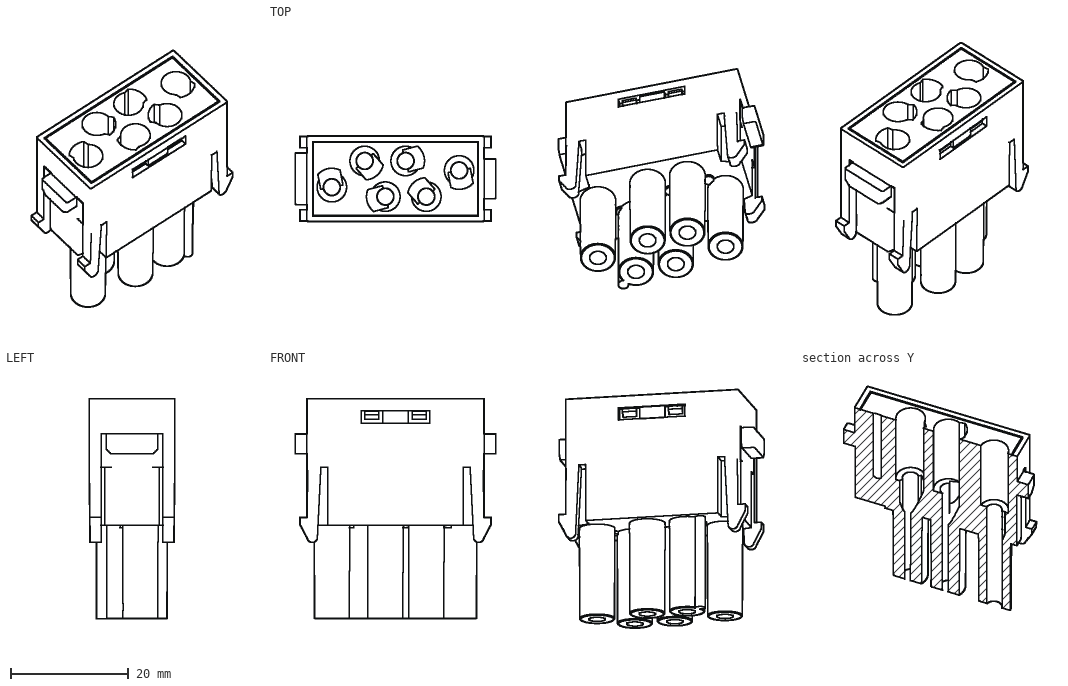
import cadquery as cq

total_height = 37.4
shell_length = 30.07
shell_width = 14.6
shell_bottom = 25.73
shell_edge_radius = 0.22

core_bottom = 15.95
core_face_half_length = 11.52
core_end_half_width = 3.7
core_notch_half_width = 4.65
core_edge_radius = 0.2
draft_inset = 0.15

relief_half_width = 5.25
relief_top = 31.4
relief_depth = 0.1

leg_inner_y = relief_half_width
leg_root_x = 12.68
leg_tip_x = 13.28
hook_shelf_z = 17.25
hook_x = 16.25
hook_nose_z = 16.0
hook_nose_radius = 0.37
tip_shoulder_z = 13.65
tip_outer_x = 15.0
tip_z = 12.98

key_reach = 17.05
key_height = 3.35
key_corner = 0.82
key_edge_radius = 0.25
key_corner_radius = 0.37
key_width_left = 8.83
key_width_right = 6.8

wall_thickness = 0.97
joint_width = 0.1
joint_depth = 0.2

window_length = 11.6
window_top = 35.35
window_height = 2.1
window_block_length = 4.35
window_block_setback = 0.35
catch_length = 2.4
catch_offset = 4.0
catch_reach = 0.6
catch_top = 35.23
catch_edge_z = 34.7
catch_bottom = 33.92

half_cavities = [(-10.8, -1.42, 101), (-5.25, 3.03, -49), (1.72, 3.03, 15)]
cavities = half_cavities + [(-x, -y, angle + 180) for x, y, angle in half_cavities]
pin_diameter = 6.05
pin_draft_angle = 0.25
pin_edge_chamfer = 0.15
bore_diameter = 5.0
bore_floor = 23.2
through_diameter = 2.8
keyway_radius = 3.2
keyway_width = 3.85
keyway_slope_top = 22.45
keyway_floor = 16.1

pad_diameter = 1.75
pad_height = 0.45
pad_centres = [(-7.4, 1.5), (1.72, -0.82), (8.6, -1.5)]

post_diameter = 1.75
post_centre = (-7.95, 5.15)

half_length = shell_length / 2
half_width = shell_width / 2
relief_x = half_length - relief_depth


def prism(length, width, bottom, top):
    """Box centred on the Z axis between two heights."""
    return cq.Workplane("XY").workplane(offset=bottom).rect(length, width).extrude(top - bottom)


def make_shell():
    shell = prism(shell_length, shell_width, shell_bottom, total_height)
    return shell.edges("|Z").fillet(shell_edge_radius)


def make_core():
    quarter = [
        (core_face_half_length, half_width),
        (core_face_half_length, core_notch_half_width),
        (relief_x, core_end_half_width),
    ]
    outline = quarter + [(x, -y) for x, y in reversed(quarter)]
    outline += [(-x, -y) for x, y in outline]
    core = cq.Workplane("XY").workplane(offset=core_bottom).polyline(outline).close()
    core = core.extrude(shell_bottom - core_bottom)
    for end_face in ("<X", ">X"):
        core = core.faces(end_face).edges("|Z").fillet(core_edge_radius)
    return core


def make_leg():
    """Hooked leg at the +X, +Y corner."""
    tip_middle_x = (tip_outer_x + leg_tip_x) / 2
    leg = (
        cq.Workplane("XZ", origin=(0, half_width, 0))
        .moveTo(leg_root_x, shell_bottom)
        .lineTo(half_length, shell_bottom)
        .lineTo(half_length, hook_shelf_z)
        .lineTo(hook_x, hook_shelf_z)
        .lineTo(hook_x, hook_nose_z)
        .lineTo(tip_outer_x, tip_shoulder_z)
        .threePointArc((tip_middle_x, tip_z), (leg_tip_x, tip_shoulder_z))
        .close()
        .extrude(half_width - leg_inner_y)
    )
    nose = cq.selectors.NearestToPointSelector((hook_x, (half_width + leg_inner_y) / 2, hook_nose_z))
    leg = leg.edges("|Y").edges(nose).fillet(hook_nose_radius)
    edge_middle = (half_length, half_width, (shell_bottom + hook_shelf_z) / 2)
    outer_edge = cq.selectors.NearestToPointSelector(edge_middle)
    return leg.edges("|Z").edges(outer_edge).fillet(shell_edge_radius)


def make_draft_envelope():
    """Bounds the long sides, which lean inwards below the shell."""
    low = half_width - draft_inset
    outline = [
        (half_width, total_height),
        (half_width, shell_bottom),
        (low, tip_z),
        (low, 0),
        (-low, 0),
        (-low, tip_z),
        (-half_width, shell_bottom),
        (-half_width, total_height),
    ]
    return cq.Workplane("YZ").polyline(outline).close().extrude(key_reach, both=True)


def cut_relief(body, side):
    width = 2 * relief_half_width
    height = relief_top - shell_bottom
    centre = (side * half_length, 0, shell_bottom + height / 2)
    return body.cut(cq.Workplane("XY").box(2 * relief_depth, width, height).translate(centre))


def make_key(side, width):
    reach = key_reach - relief_x
    centre = (side * (relief_x + reach / 2), 0, relief_top - key_height / 2)
    key = cq.Workplane("XY").box(reach, width, key_height)
    key = key.edges("<Z and |X").chamfer(key_corner)
    corner_z = key_corner - key_height / 2
    for corner_y in (-width / 2, width / 2):
        corner = cq.selectors.NearestToPointSelector((0, corner_y, corner_z))
        key = key.edges("|X").edges(corner).fillet(key_corner_radius)
    outer_face = ">X" if side > 0 else "<X"
    key = key.faces(outer_face).edges("|Z").fillet(key_edge_radius)
    return key.translate(centre)


def make_joint_groove():
    length = shell_length - 2 * wall_thickness
    width = shell_width - 2 * wall_thickness
    bottom = total_height - joint_depth
    outer = prism(length, width, bottom, total_height)
    inner = prism(length - 2 * joint_width, width - 2 * joint_width, bottom, total_height)
    return outer.cut(inner)


def make_window():
    """Volume removed from the -Y wall, leaving the middle block and two catches."""
    insert_y = wall_thickness - half_width
    window_z = window_top - window_height / 2
    block_depth = wall_thickness - window_block_setback
    window = cq.Workplane("XY").box(window_length, wall_thickness, window_height)
    window = window.translate((0, insert_y - wall_thickness / 2, window_z))
    block = cq.Workplane("XY").box(window_block_length, block_depth, window_height)
    window = window.cut(block.translate((0, insert_y - block_depth / 2, window_z)))
    catch_outline = [
        (insert_y, catch_top),
        (insert_y - catch_reach, catch_top),
        (insert_y - catch_reach, catch_edge_z),
        (insert_y, catch_bottom),
    ]
    catch = cq.Workplane("YZ").polyline(catch_outline).close().extrude(catch_length / 2, both=True)
    for side in (-1, 1):
        window = window.cut(catch.translate((side * catch_offset, 0, 0)))
    return window


def make_pin(x, y):
    pin = (
        cq.Workplane("XY", origin=(x, y, core_bottom))
        .circle(pin_diameter / 2)
        .extrude(-core_bottom, taper=pin_draft_angle)
    )
    return pin.faces("<Z").edges().chamfer(pin_edge_chamfer)


def make_cavity(x, y, angle):
    """Stepped bore with a keyway to one side whose lower end slopes in to the through hole."""
    through = cq.Workplane("XY").circle(through_diameter / 2).extrude(total_height)
    bore = cq.Workplane("XY").workplane(offset=bore_floor).circle(bore_diameter / 2)
    bore = bore.extrude(total_height - bore_floor)
    keyway_outline = [
        (0, keyway_floor),
        (through_diameter / 2, keyway_floor),
        (keyway_radius, keyway_slope_top),
        (keyway_radius, total_height),
        (0, total_height),
    ]
    funnel = cq.Workplane("XZ").polyline(keyway_outline).close().revolve(360, (0, 0, 0), (0, 1, 0))
    slot = prism(2 * keyway_radius, keyway_width, keyway_floor, total_height)
    slot = slot.translate((keyway_radius, 0, 0))
    keyway = funnel.intersect(slot).rotate((0, 0, 0), (0, 0, 1), angle)
    return through.union(bore).union(keyway).translate((x, y, 0))


body = make_shell().union(make_core())
leg = make_leg()
for corner_leg in (leg, leg.mirror("YZ")):
    body = body.union(corner_leg).union(corner_leg.mirror("XZ"))
body = body.intersect(make_draft_envelope())

for side, width in ((-1, key_width_left), (1, key_width_right)):
    body = cut_relief(body, side).union(make_key(side, width))

body = body.cut(make_joint_groove())
window = make_window()
body = body.cut(window).cut(window.mirror("XZ"))

pads = cq.Workplane("XY").workplane(offset=core_bottom).pushPoints(pad_centres)
body = body.union(pads.circle(pad_diameter / 2).extrude(-pad_height))
post = cq.Workplane("XY").center(*post_centre).circle(post_diameter / 2).extrude(core_bottom)
body = body.union(post)

for x, y, angle in cavities:
    body = body.union(make_pin(x, y))
for x, y, angle in cavities:
    body = body.cut(make_cavity(x, y, angle))

result = body